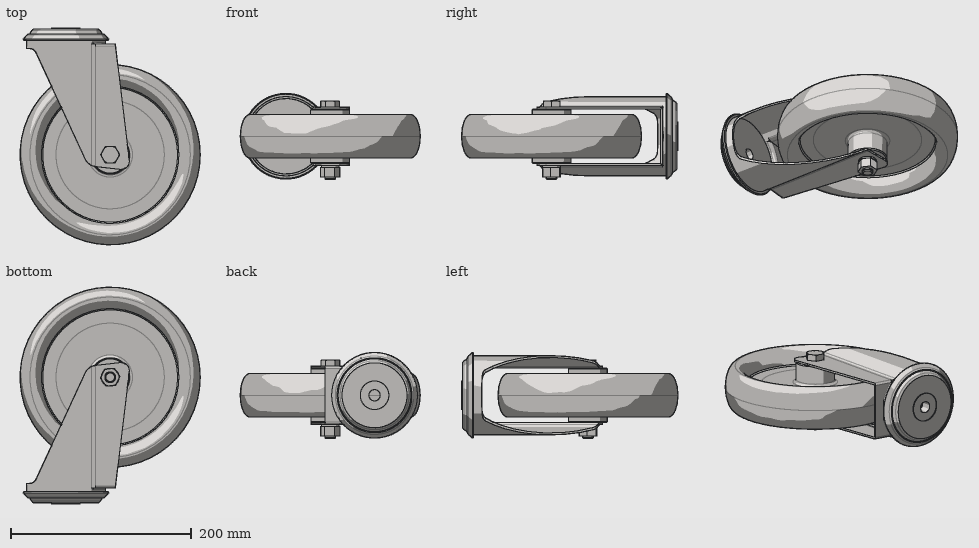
import cadquery as cq
import math


wheel_radius = 99.8
tyre_half_width = 24.2
tyre_crest_radius = 88.7
tyre_foot_radius = 76.0
web_half_thickness = 4.5
web_edge_chamfer = 1.5
web_flat_radius = 60.0
hub_radius = 21.5
hub_half_length = 30.0
hub_foot_round = 3.0
hub_foot_height = 5.8
hub_chamfer = 1.2

swivel_x = -49.0
fork_radius = 44.0
sheet = 2.2
arm_inner_z = hub_half_length
arm_outer_z = arm_inner_z + sheet
fork_top_y = 126.5
arm_top_y = 122.5
web_front_x = 5.8
side_bend_radius = 7.0
neck_bend_radius = 1.5
web_bend_radius = 2.5
window_top_y = 117.3
window_corner_x = -84.2
window_round = 7.2
heel_x = -24.2
heel_y = -12.2
heel_round = 14.5
toe_x = 22.5
toe_y = -17.5
toe_round = 9.0
arm_reach = 96.0
form_length = 167.9

cap_radius = 47.5
cap_base_radius = 46.5
cap_rim_y = 127.8
cap_shoulder_radius = 43.5
cap_shoulder_y = 132.5
cap_step_outer_radius = 41.5
cap_step_inner_radius = 40.3
cap_step_y = 133.8
cap_neck_radius = 38.1
cap_neck_y = 137.2
cap_top_radius = 36.0
cap_top_y = 139.0
cap_boss_radius = 15.8
cap_boss_top_y = 140.0
swivel_hole_radius = 6.2

pick_tolerance = 0.2
pick_reach = 239.8

shank_radius = 6.0
head_corner_radius = 10.5
head_height = 7.0
head_top_radius = 9.5
head_top_depth = 0.7
nut_corner_radius = 10.8
nut_turn = -5.0
nut_collar_radius = 9.8
nut_collar_height = 2.2
nut_bottom_z = -45.0
shank_tip_z = -48.0
tip_chamfer = 1.2


def axle_cylinder(radius, z_low, z_high):
    return cq.Workplane("XY").workplane(offset=z_low).circle(radius).extrude(z_high - z_low)


def swivel_cylinder(radius, y_low, y_high):
    return (
        cq.Workplane("XZ", origin=(swivel_x, y_high, 0))
        .circle(radius)
        .extrude(y_high - y_low)
    )


def axle_hexagon(corner_radius, z_low, z_high):
    return (
        cq.Workplane("XY")
        .workplane(offset=z_low)
        .polygon(6, 2 * corner_radius)
        .extrude(z_high - z_low)
    )


def edges_at(x, y=None):
    """Selector of the edges whose centre is at x and, if given, at y."""
    y_low, y_high = (-pick_reach, pick_reach) if y is None else (y - pick_tolerance, y + pick_tolerance)
    return cq.selectors.BoxSelector(
        (x - pick_tolerance, y_low, -pick_reach),
        (x + pick_tolerance, y_high, pick_reach),
    )


def elliptic_point(centre, semi_axes, degrees):
    angle = math.radians(degrees)
    return (centre[0] + semi_axes[0] * math.cos(angle), centre[1] + semi_axes[1] * math.sin(angle))


def make_wheel():
    curve_angles = range(15, 91, 15)
    foot = (tyre_foot_radius, web_half_thickness + web_edge_chamfer)
    tread_axes = (wheel_radius - tyre_crest_radius, tyre_half_width)
    wall_axes = (tyre_crest_radius - tyre_foot_radius, tyre_half_width - foot[1])
    tread = [elliptic_point((tyre_crest_radius, 0), tread_axes, a) for a in curve_angles]
    wall = [elliptic_point((tyre_crest_radius, foot[1]), wall_axes, 90 + a) for a in curve_angles]
    hub_foot_radius = hub_radius + hub_foot_round
    arc_offset = hub_foot_round * (1 - math.sqrt(0.5))
    half_profile = (
        cq.Workplane("XZ")
        .moveTo(0, 0)
        .lineTo(wheel_radius, 0)
        .spline(tread, tangents=[(0, 1), (-1, 0)], includeCurrent=True)
        .spline(wall, tangents=[(-1, 0), (0, -1)], includeCurrent=True)
        .lineTo(tyre_foot_radius - web_edge_chamfer, web_half_thickness)
        .lineTo(web_flat_radius, web_half_thickness)
        .lineTo(hub_foot_radius, hub_foot_height)
        .threePointArc(
            (hub_radius + arc_offset, hub_foot_height + arc_offset),
            (hub_radius, hub_foot_height + hub_foot_round),
        )
        .lineTo(hub_radius, hub_half_length - hub_chamfer)
        .lineTo(hub_radius - hub_chamfer, hub_half_length)
        .lineTo(0, hub_half_length)
        .close()
    )
    half = half_profile.revolve(360, (0, 0, 0), (0, 1, 0))
    wheel = half.union(half.mirror("XY"))
    return wheel.cut(axle_cylinder(shank_radius, -hub_half_length, hub_half_length))


def bend_end_x():
    """X where the side bends run out into the flat arms."""
    tube_to_bend = fork_radius + side_bend_radius
    bend_centre_z = arm_outer_z + side_bend_radius
    return swivel_x + math.sqrt(tube_to_bend**2 - bend_centre_z**2)


def neck_ring(radius, half_width, web_y, bend):
    """Concave ring that fills the corner between the tube and the flat top of the web."""
    profile = (
        cq.Workplane("XY")
        .moveTo(0, web_y + bend)
        .lineTo(radius, web_y + bend)
        .radiusArc((radius + bend, web_y), -bend)
        .lineTo(0, web_y)
        .close()
    )
    ring = profile.revolve(360, (0, 0, 0), (0, 1, 0)).translate((swivel_x, 0, 0))
    band = cq.Workplane("XY").box(arm_reach, 2 * web_y, 2 * half_width, centered=(False, False, True))
    return ring.intersect(band.translate((swivel_x, web_y - bend, 0)))


def fork_form(offset):
    """Solid inside the outer face of the fork sheet, with that face moved inward by offset."""
    radius = fork_radius - offset
    half_width = arm_outer_z - offset
    web_y = arm_top_y - offset
    arm_bottom_y = web_y - form_length
    arm_block = (
        cq.Workplane("XY")
        .box(arm_reach, form_length, 2 * half_width, centered=(False, False, True))
        .translate((swivel_x, arm_bottom_y, 0))
    )
    corner_x = swivel_x + math.sqrt(radius**2 - half_width**2)
    form = swivel_cylinder(radius, arm_bottom_y, web_y).union(arm_block)
    form = form.edges(edges_at(corner_x)).fillet(side_bend_radius + offset)
    form = form.union(swivel_cylinder(radius, arm_bottom_y, fork_top_y))
    return form.union(neck_ring(radius, half_width, web_y, neck_bend_radius + offset))


def web_edge_waste():
    """Material outside the rounded long edges of the web, on both arms."""
    start_x = bend_end_x()
    centre_y = arm_top_y - web_bend_radius
    centre_z = arm_outer_z - web_bend_radius
    block = (
        cq.Workplane("XY")
        .box(arm_reach, web_bend_radius, web_bend_radius, centered=False)
        .translate((start_x, centre_y, centre_z))
    )
    rod = cq.Workplane("YZ", origin=(start_x, centre_y, centre_z)).circle(web_bend_radius).extrude(arm_reach)
    waste = block.cut(rod)
    return waste.union(waste.mirror("XY"))


def arm_outline():
    """Side outline of the fork, extruded through its full width."""
    rear_x = swivel_x - fork_radius
    front_x = swivel_x + fork_radius
    window_corner = (window_corner_x, window_top_y)
    heel = (heel_x, heel_y)
    toe = (toe_x, toe_y)
    outline = (
        cq.Workplane("XY")
        .workplane(offset=-fork_radius)
        .polyline([
            (rear_x, fork_top_y),
            (rear_x, window_top_y),
            window_corner,
            heel,
            toe,
            (web_front_x, arm_top_y),
            (front_x, arm_top_y),
            (front_x, fork_top_y),
        ])
        .close()
        .extrude(2 * fork_radius)
    )
    for corner, radius in ((window_corner, window_round), (heel, heel_round), (toe, toe_round)):
        outline = outline.edges(edges_at(*corner)).fillet(radius)
    return outline


def make_fork():
    sheet_shell = fork_form(0).cut(fork_form(sheet)).cut(web_edge_waste())
    fork = sheet_shell.intersect(arm_outline())
    return fork.cut(axle_cylinder(shank_radius, -fork_radius, fork_radius))


def make_cap():
    profile = (
        cq.Workplane("XY")
        .polyline([
            (swivel_hole_radius, fork_top_y),
            (cap_base_radius, fork_top_y),
            (cap_radius, cap_rim_y),
            (cap_shoulder_radius, cap_shoulder_y),
            (cap_step_outer_radius, cap_step_y),
            (cap_step_inner_radius, cap_step_y),
            (cap_neck_radius, cap_neck_y),
            (cap_top_radius, cap_top_y),
            (cap_boss_radius, cap_top_y),
            (cap_boss_radius, cap_boss_top_y),
            (swivel_hole_radius, cap_boss_top_y),
        ])
        .close()
    )
    return profile.revolve(360, (0, 0, 0), (0, 1, 0)).translate((swivel_x, 0, 0))


def make_bolt():
    shank = axle_cylinder(shank_radius, shank_tip_z, arm_outer_z).faces("<Z").chamfer(tip_chamfer)
    head_top_z = arm_outer_z + head_height
    head = axle_hexagon(head_corner_radius, arm_outer_z, head_top_z)
    chamfered_blank = (
        axle_cylinder(head_corner_radius, arm_outer_z, head_top_z)
        .faces(">Z")
        .chamfer(head_top_depth, head_corner_radius - head_top_radius)
    )
    return shank.union(head.intersect(chamfered_blank))


def make_nut():
    collar_bottom_z = -arm_outer_z - nut_collar_height
    collar = axle_cylinder(nut_collar_radius, collar_bottom_z, -arm_outer_z)
    hexagon = axle_hexagon(nut_corner_radius, nut_bottom_z, collar_bottom_z)
    hexagon = hexagon.rotate((0, 0, 0), (0, 0, 1), nut_turn)
    return hexagon.union(collar).cut(axle_cylinder(shank_radius, nut_bottom_z, -arm_outer_z))


wheel = make_wheel()
fork = make_fork()
cap = make_cap()
bolt = make_bolt()
nut = make_nut()

result = cq.Compound.makeCompound([wheel.val(), fork.val(), cap.val(), bolt.val(), nut.val()])